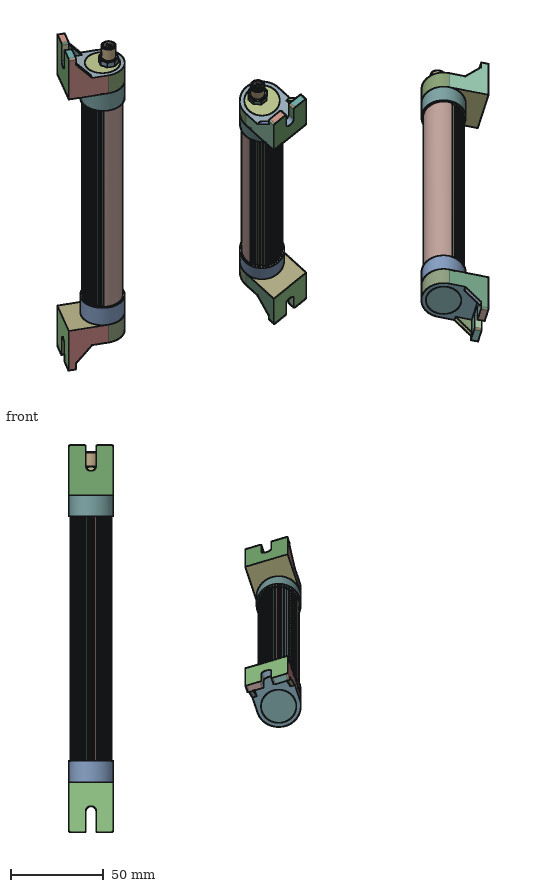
import cadquery as cq
import math

OVERALL_LENGTH = 208.6
COLLAR_DIAMETER = 24.0
MOUNTING_FACE_Y = -22.0

HUB_HEIGHT = 12.0
PLATE_EXTENSION = 15.0
PLATE_THICKNESS = 4.0
BORE_DIAMETER = 19.1
RIB_THICKNESS = 2.5
RIB_START_Y = -9.0
RIB_RISE = 10.5
SLOT_WIDTH = 5.5
SLOT_DEPTH = 14.0
PLATE_CORNER_RADIUS = 1.0

COLLAR_HEIGHT = 11.5
TUBE_DIAMETER = 22.1
SPIGOT_DIAMETER = 19.0
GROOVE_WIDTH = 1.0
GROOVE_DEPTH = 1.0
GROOVE_PITCH_ANGLE = 8.0
GROOVE_COUNT = 20

CONNECTOR_Y = 3.4
NUT_SIDES = 8
NUT_ACROSS_FLATS = 10.0
NUT_HEIGHT = 3.4
NUT_CHAMFER = 0.5
PLUG_DIAMETER = 7.8
PLUG_TOP = 11.3
PLUG_CHAMFER = 0.5
SOCKET_DIAMETER = 6.0
SOCKET_DEPTH = 7.0
PIN_DIAMETER = 1.0
PIN_LENGTH = 6.0
PIN_CENTERS = [(-1.0, 1.4), (1.0, 1.4), (-1.7, -0.2), (1.7, -0.2)]

hub_top = OVERALL_LENGTH / 2 - PLATE_EXTENSION
hub_base = hub_top - HUB_HEIGHT
tube_end = hub_base - COLLAR_HEIGHT
plate_top = OVERALL_LENGTH / 2
half_width = COLLAR_DIAMETER / 2
plate_back_y = MOUNTING_FACE_Y + PLATE_THICKNESS
groove_center_radius = TUBE_DIAMETER / 2 - GROOVE_DEPTH + GROOVE_WIDTH / 2


def make_upper_bracket():
    """Hub around the spigot, slotted mounting plate and two ribs."""
    hub = (
        cq.Workplane("XY", origin=(0, 0, hub_base))
        .moveTo(half_width, 0)
        .threePointArc((0, half_width), (-half_width, 0))
        .lineTo(-half_width, MOUNTING_FACE_Y)
        .lineTo(half_width, MOUNTING_FACE_Y)
        .close()
        .extrude(HUB_HEIGHT)
    )
    plate_mid_y = (MOUNTING_FACE_Y + plate_back_y) / 2
    plate = (
        cq.Workplane("XY", origin=(0, plate_mid_y, hub_base))
        .rect(COLLAR_DIAMETER, PLATE_THICKNESS)
        .extrude(plate_top - hub_base)
    )
    slot_center_z = plate_top - SLOT_DEPTH + SLOT_WIDTH / 2
    slot = (
        cq.Workplane("XZ", origin=(0, plate_back_y, 0))
        .moveTo(-SLOT_WIDTH / 2, plate_top)
        .lineTo(-SLOT_WIDTH / 2, slot_center_z)
        .threePointArc((0, plate_top - SLOT_DEPTH), (SLOT_WIDTH / 2, slot_center_z))
        .lineTo(SLOT_WIDTH / 2, plate_top)
        .close()
        .extrude(PLATE_THICKNESS)
    )
    plate = plate.cut(slot).faces(">Z").edges("|Y").fillet(PLATE_CORNER_RADIUS)
    bracket = hub.union(plate)
    for rib_start_x in (-half_width, half_width - RIB_THICKNESS):
        rib = (
            cq.Workplane("YZ", origin=(rib_start_x, 0, hub_top))
            .moveTo(RIB_START_Y, 0)
            .lineTo(plate_back_y, RIB_RISE)
            .lineTo(plate_back_y, 0)
            .close()
            .extrude(RIB_THICKNESS)
        )
        bracket = bracket.union(rib)
    bore = cq.Workplane("XY", origin=(0, 0, hub_base)).circle(BORE_DIAMETER / 2).extrude(HUB_HEIGHT)
    return bracket.cut(bore)


def make_lamp():
    """Grooved tube with a collar and a spigot at each end."""
    tube = cq.Workplane("XY", origin=(0, 0, -tube_end)).circle(TUBE_DIAMETER / 2).extrude(2 * tube_end)
    groove = (
        cq.Workplane("XY", origin=(0, 0, -tube_end))
        .moveTo(GROOVE_WIDTH / 2, -half_width)
        .lineTo(GROOVE_WIDTH / 2, -groove_center_radius)
        .threePointArc(
            (0, GROOVE_WIDTH / 2 - groove_center_radius),
            (-GROOVE_WIDTH / 2, -groove_center_radius),
        )
        .lineTo(-GROOVE_WIDTH / 2, -half_width)
        .close()
        .extrude(2 * tube_end)
    )
    lamp = tube
    for index in range(GROOVE_COUNT):
        angle = (index - (GROOVE_COUNT - 1) / 2) * GROOVE_PITCH_ANGLE
        lamp = lamp.cut(groove.rotate((0, 0, 0), (0, 0, 1), angle))
    for end in (-1, 1):
        collar = (
            cq.Workplane("XY", origin=(0, 0, end * tube_end))
            .circle(COLLAR_DIAMETER / 2)
            .extrude(end * COLLAR_HEIGHT)
        )
        spigot = (
            cq.Workplane("XY", origin=(0, 0, end * hub_base))
            .circle(SPIGOT_DIAMETER / 2)
            .extrude(end * HUB_HEIGHT)
        )
        lamp = lamp.union(collar).union(spigot)
    return lamp


def make_connector():
    """Octagonal nut with a hollow plug and contact pins."""
    base = cq.Workplane("XY", origin=(0, CONNECTOR_Y, hub_top))
    across_corners = NUT_ACROSS_FLATS / math.cos(math.pi / NUT_SIDES)
    nut = (
        base.transformed(rotate=(0, 0, 180 / NUT_SIDES))
        .polygon(NUT_SIDES, across_corners)
        .extrude(NUT_HEIGHT)
    )
    chamfered_blank = (
        base.circle(across_corners / 2).extrude(NUT_HEIGHT).faces(">Z").edges().chamfer(NUT_CHAMFER)
    )
    nut = nut.intersect(chamfered_blank)
    plug = base.circle(PLUG_DIAMETER / 2).extrude(PLUG_TOP).faces(">Z").edges().chamfer(PLUG_CHAMFER)
    socket = base.workplane(offset=PLUG_TOP - SOCKET_DEPTH).circle(SOCKET_DIAMETER / 2).extrude(SOCKET_DEPTH)
    pins = (
        base.workplane(offset=PLUG_TOP - SOCKET_DEPTH)
        .pushPoints(PIN_CENTERS)
        .circle(PIN_DIAMETER / 2)
        .extrude(PIN_LENGTH)
    )
    return nut.union(plug).cut(socket).union(pins)


upper_bracket = make_upper_bracket()
lower_bracket = upper_bracket.mirror("XY")
lamp = make_lamp()
connector = make_connector()

result = cq.Compound.makeCompound(
    [lamp.val(), upper_bracket.val(), lower_bracket.val(), connector.val()]
)